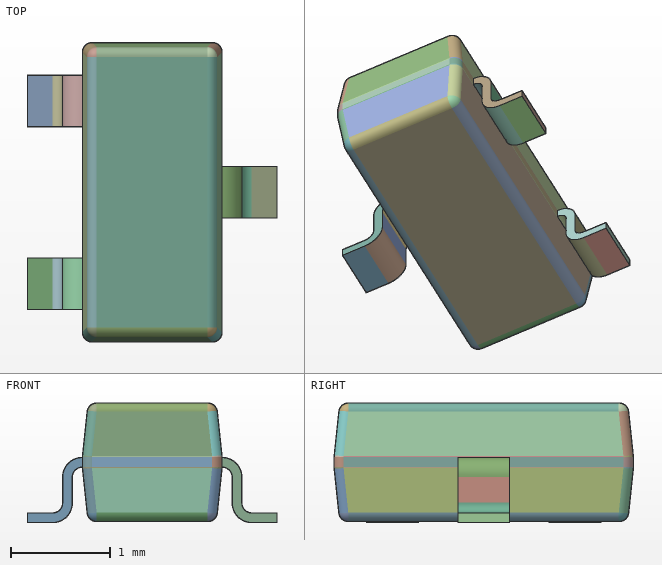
import cadquery as cq
import math

total_width = 2.5
body_length = 3.0
total_height = 1.2

body_width = 1.4
standoff = 0.01
draft_angle = 6.0
edge_radius = 0.1

lead_thickness = 0.1
lead_width = 0.52
lead_pitch = 1.83
inner_bend_radius = 0.1

rim_setback = edge_radius * math.tan(math.radians(draft_angle / 2))
band_height = lead_thickness + 2 * rim_setback
body_mid_z = (standoff + total_height) / 2
drafted_height = total_height - body_mid_z - band_height / 2

lead_root_top_z = body_mid_z + lead_thickness / 2
lead_root_bottom_z = body_mid_z - lead_thickness / 2
outer_bend_radius = inner_bend_radius + lead_thickness
lead_reach = (total_width - body_width) / 2


def make_body():
    """Body with every edge rounded, including the slight corners where the band meets the drafted halves."""
    band = cq.Workplane("XY").box(body_width, body_length, band_height)
    upper = (
        cq.Workplane("XY")
        .workplane(offset=band_height / 2)
        .rect(body_width, body_length)
        .extrude(drafted_height, taper=draft_angle)
    )
    lower = upper.mirror("XY")
    blank = band.union(upper).union(lower)
    return blank.edges().fillet(edge_radius).translate((0, 0, body_mid_z))


def arc_middle(center_x, center_z, radius, angle):
    """Point on a bend at the given angle from +X."""
    turn = math.radians(angle)
    return (center_x + radius * math.cos(turn), center_z + radius * math.sin(turn))


def make_lead():
    """Lead on the -X side, centred on Y = 0 and ending on the face of the band."""
    root_x = -body_width / 2
    tip_x = root_x - lead_reach
    outer_x = root_x - outer_bend_radius
    inner_x = outer_x + lead_thickness
    heel_x = outer_x - inner_bend_radius
    upper_bend_z = lead_root_top_z - outer_bend_radius
    lower_bend_z = outer_bend_radius

    upper_bend_middle = 135
    lower_bend_middle = -45
    upper_inner = arc_middle(root_x, upper_bend_z, inner_bend_radius, upper_bend_middle)
    upper_outer = arc_middle(root_x, upper_bend_z, outer_bend_radius, upper_bend_middle)
    lower_inner = arc_middle(heel_x, lower_bend_z, inner_bend_radius, lower_bend_middle)
    lower_outer = arc_middle(heel_x, lower_bend_z, outer_bend_radius, lower_bend_middle)

    return (
        cq.Workplane("XZ")
        .moveTo(tip_x, 0)
        .lineTo(heel_x, 0)
        .threePointArc(lower_outer, (inner_x, lower_bend_z))
        .lineTo(inner_x, upper_bend_z)
        .threePointArc(upper_inner, (root_x, lead_root_bottom_z))
        .lineTo(root_x, lead_root_top_z)
        .threePointArc(upper_outer, (outer_x, upper_bend_z))
        .lineTo(outer_x, lower_bend_z)
        .threePointArc(lower_inner, (heel_x, lead_thickness))
        .lineTo(tip_x, lead_thickness)
        .close()
        .extrude(lead_width / 2, both=True)
    )


body = make_body()

lead_placements = [(-lead_pitch / 2, 0), (lead_pitch / 2, 0), (0, 180)]
leads = []
for lead_y, turn in lead_placements:
    lead = make_lead().rotate((0, 0, 0), (0, 0, 1), turn).translate((0, lead_y, 0))
    leads.append(lead.val())

result = cq.Compound.makeCompound([body.val(), *leads])